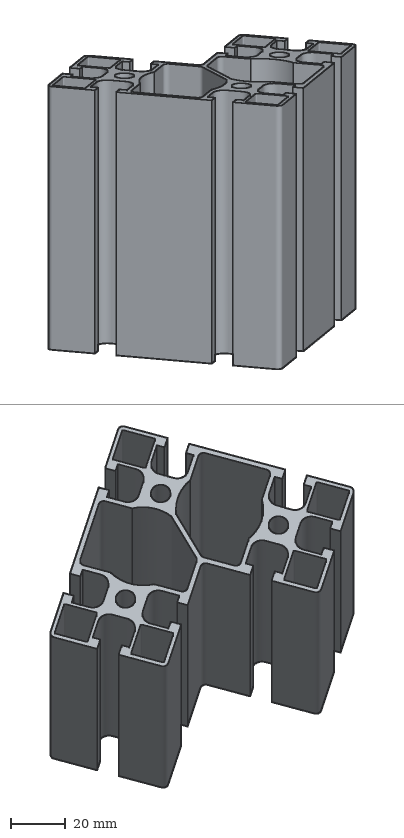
import cadquery as cq
import math

CELL = 45.0
LENGTH = 100.0
CORNER_RADIUS = 2.0

SLOT_OPENING = 8.2
SLOT_WIDTH = 14.0
SLOT_DEPTH = 15.0
LIP_DEPTH = 4.0
SLOT_FLOOR_RADIUS = 4.2

BOX_WALL = 1.6
BOX_SIZE = 12.6
BOX_RADIUS = 0.5

WALL = 2.0
HOLLOW_WIDTH = 27.4
HOLLOW_RADIUS = 2.0
RELIEF_RADIUS = 16.0
WEB = 2.0

CORE_HOLE_DIAMETER = 7.2

SIDE = 2 * CELL
HALF_CELL = CELL / 2
NEAR = HALF_CELL
FAR = CELL + HALF_CELL

T_SLOTS = [
    (NEAR, NEAR, (90, 180, 270)),
    (FAR, NEAR, (0, 270)),
    (FAR, FAR, (0, 90, 180)),
]


def block(x_min, x_max, y_min, y_max):
    """Full-length rectangular block between the given limits."""
    size_x = x_max - x_min
    size_y = y_max - y_min
    return cq.Workplane("XY").box(size_x, size_y, LENGTH, centered=False).translate((x_min, y_min, 0))


def l_body():
    """Solid L-shaped bar with rounded long edges."""
    outline = [(0, 0), (SIDE, 0), (SIDE, SIDE), (CELL, SIDE), (CELL, CELL), (0, CELL)]
    body = cq.Workplane("XY").polyline(outline).close().extrude(LENGTH)
    return body.edges("|Z").fillet(CORNER_RADIUS)


def t_slot(x, y, direction):
    """Cutter for one T-slot of the cell centred at (x, y), open towards the direction."""
    floor = HALF_CELL - SLOT_DEPTH
    chamber = block(floor, HALF_CELL - LIP_DEPTH, -SLOT_WIDTH / 2, SLOT_WIDTH / 2)
    chamber = chamber.edges("|Z and <X").fillet(SLOT_FLOOR_RADIUS)
    mouth = block(HALF_CELL - LIP_DEPTH, HALF_CELL, -SLOT_OPENING / 2, SLOT_OPENING / 2)
    slot = chamber.union(mouth)
    return slot.rotate((0, 0, 0), (0, 0, 1), direction).translate((x, y, 0))


def corner_boxes():
    """Square hollows in the five outside corners."""
    low = BOX_WALL + BOX_SIZE / 2
    centres = [
        (low, low),
        (low, CELL - low),
        (SIDE - low, low),
        (SIDE - low, SIDE - low),
        (CELL + low, SIDE - low),
    ]
    boxes = cq.Workplane("XY").pushPoints(centres).rect(BOX_SIZE, BOX_SIZE).extrude(LENGTH)
    return boxes.edges("|Z").fillet(BOX_RADIUS)


def lower_hollow():
    """Large hollow between the two lower cores, cut off by the diagonal web."""
    x_min = CELL - HOLLOW_WIDTH / 2
    x_max = CELL + HOLLOW_WIDTH / 2
    hollow = block(x_min, x_max, WALL, CELL - WALL).edges("|Z").fillet(HOLLOW_RADIUS)
    relief = cq.Workplane("XY").center(CELL, NEAR).circle(RELIEF_RADIUS).extrude(LENGTH)
    reach = SIDE - WEB / 2 * math.sqrt(2)
    below_web = cq.Workplane("XY").polyline([(0, 0), (reach, 0), (0, reach)]).close().extrude(LENGTH)
    hollow = hollow.union(relief).intersect(below_web)
    return hollow.faces(">(1, 1, 0)").edges("|Z").fillet(HOLLOW_RADIUS)


def upper_hollow():
    """Mirror image of the lower hollow across the diagonal web."""
    turned = lower_hollow().mirror("XZ")
    return turned.rotate((0, 0, 0), (0, 0, 1), -90).translate((SIDE, SIDE, 0))


def core_hole(x, y):
    """Cutter for the round hole along the core centred at (x, y)."""
    return cq.Workplane("XY").center(x, y).circle(CORE_HOLE_DIAMETER / 2).extrude(LENGTH)


result = l_body().cut(corner_boxes()).cut(lower_hollow()).cut(upper_hollow())
for core_x, core_y, directions in T_SLOTS:
    result = result.cut(core_hole(core_x, core_y))
    for slot_direction in directions:
        result = result.cut(t_slot(core_x, core_y, slot_direction))